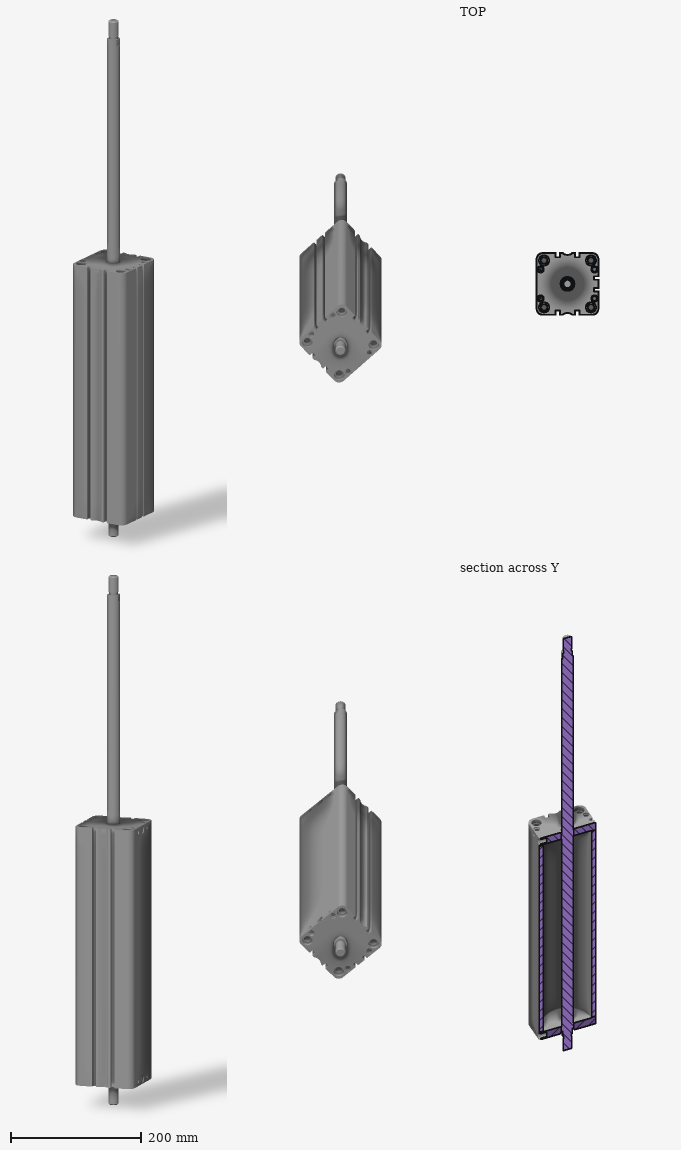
import cadquery as cq


BODY_WIDTH = 95.0
CORNER_RADIUS = 10.0
BODY_BOTTOM = 36.0
CAP_HEIGHT = 15.0
BARREL_LENGTH = 375.0
BORE_DIAMETER = 80.0

WIDE_SLOT_WIDTH = 7.0
WIDE_SLOT_DEPTH = 7.0
WIDE_SLOT_SPACING = 30.0
NARROW_SLOT_WIDTH = 5.0
NARROW_SLOT_DEPTH = 7.0
NARROW_SLOT_SPACING = 18.0
HOLLOW_DIAMETER = 23.0
HOLLOW_DEPTH = 2.9

SCREW_SPACING = 72.0
SCREW_HOLE_DIAMETER = 10.0
SCREW_HEAD_DIAMETER = 16.0
SCREW_HEAD_DEPTH = 7.0
PIN_SPACING_X = 83.0
PIN_SPACING_Y = 45.0
PIN_HOLE_DIAMETER = 7.5
PIN_HOLE_DEPTH = 7.0
PIN_RECESS_DIAMETER = 10.0
PIN_RECESS_DEPTH = 2.5
ROD_RECESS_DIAMETER = 21.5
ROD_RECESS_DEPTH = 2.5

PORT_DIAMETER = 8.0
PORT_DEPTH = 12.5
PORT_RECESS_DIAMETER = 12.0
PORT_RECESS_DEPTH = 2.5
SIDE_HOLE_SPACING = 40.0
SIDE_HOLE_DIAMETER = 6.0
SIDE_HOLE_DEPTH = 7.0

ROD_LENGTH = 828.0
ROD_DIAMETER = 20.0
FLAT_WIDTH = 17.0
FLAT_LENGTH = 11.0
THREAD_DIAMETER = 16.0
THREAD_LENGTH = 25.0
THREAD_CHAMFER = 2.0
NECK_DIAMETER = 13.0
NECK_LENGTH = 4.0

HALF_WIDTH = BODY_WIDTH / 2
BARREL_BOTTOM = BODY_BOTTOM + CAP_HEIGHT
BARREL_MIDDLE = BARREL_BOTTOM + BARREL_LENGTH / 2
BARREL_TOP = BARREL_BOTTOM + BARREL_LENGTH
BODY_TOP = BARREL_TOP + CAP_HEIGHT
ROD_MIDDLE = ROD_LENGTH / 2
SHANK_START = THREAD_LENGTH + NECK_LENGTH


def level(z):
    """Horizontal workplane on the axis at height z."""
    return cq.Workplane("XY", origin=(0, 0, z))


def cylinder(diameter, bottom, height):
    return level(bottom).circle(diameter / 2).extrude(height)


def grooved_block(bottom, height):
    """Rounded square block with the grooves that run along the barrel and the caps."""
    block = level(bottom).rect(BODY_WIDTH, BODY_WIDTH).extrude(height)
    block = block.edges("|Z").fillet(CORNER_RADIUS)

    wide_centers = level(bottom).rect(WIDE_SLOT_SPACING, BODY_WIDTH, forConstruction=True).vertices()
    wide_slots = wide_centers.rect(WIDE_SLOT_WIDTH, 2 * WIDE_SLOT_DEPTH).extrude(height)
    narrow_y = NARROW_SLOT_SPACING / 2
    narrow_centers = level(bottom).pushPoints([(HALF_WIDTH, -narrow_y), (HALF_WIDTH, narrow_y)])
    narrow_slots = narrow_centers.rect(2 * NARROW_SLOT_DEPTH, NARROW_SLOT_WIDTH).extrude(height)

    hollow_y = HALF_WIDTH - HOLLOW_DEPTH + HOLLOW_DIAMETER / 2
    hollow_centers = level(bottom).pushPoints([(0, -hollow_y), (0, hollow_y)])
    hollows = hollow_centers.circle(HOLLOW_DIAMETER / 2).extrude(height)

    return block.cut(wide_slots).cut(narrow_slots).cut(hollows)


def make_barrel():
    bore = cylinder(BORE_DIAMETER, BARREL_BOTTOM, BARREL_LENGTH)
    return grooved_block(BARREL_BOTTOM, BARREL_LENGTH).cut(bore)


def stepped_holes(centers, recess_diameter, recess_depth, hole_diameter, hole_depth):
    """Round recesses with a narrower hole going deeper; signed depths follow the plane's normal."""
    recesses = centers.circle(recess_diameter / 2).extrude(recess_depth)
    holes = centers.circle(hole_diameter / 2).extrude(hole_depth)
    return recesses.union(holes)


def end_face_holes():
    """Screw holes and small pin holes, four of each, sunk from the top of the upper cap."""
    screw_centers = level(BODY_TOP).rect(SCREW_SPACING, SCREW_SPACING, forConstruction=True).vertices()
    pin_centers = level(BODY_TOP).rect(PIN_SPACING_X, PIN_SPACING_Y, forConstruction=True).vertices()
    screws = stepped_holes(
        screw_centers, SCREW_HEAD_DIAMETER, -SCREW_HEAD_DEPTH, SCREW_HOLE_DIAMETER, -CAP_HEIGHT
    )
    pins = stepped_holes(
        pin_centers, PIN_RECESS_DIAMETER, -PIN_RECESS_DEPTH, PIN_HOLE_DIAMETER, -PIN_HOLE_DEPTH
    )
    return screws.union(pins)


def side_face_holes():
    """Port and the two small holes beside it, in the -X face of the upper cap."""
    side_face = cq.Workplane("YZ", origin=(-HALF_WIDTH, 0, BARREL_TOP + CAP_HEIGHT / 2))
    port = stepped_holes(side_face, PORT_RECESS_DIAMETER, PORT_RECESS_DEPTH, PORT_DIAMETER, PORT_DEPTH)
    hole_y = SIDE_HOLE_SPACING / 2
    hole_centers = side_face.pushPoints([(-hole_y, 0), (hole_y, 0)])
    return port.union(hole_centers.circle(SIDE_HOLE_DIAMETER / 2).extrude(SIDE_HOLE_DEPTH))


def make_caps():
    """Upper cap and its mirror image at the lower end of the barrel."""
    upper = grooved_block(BARREL_TOP, CAP_HEIGHT)
    rod_hole = stepped_holes(
        level(BODY_TOP), ROD_RECESS_DIAMETER, -ROD_RECESS_DEPTH, ROD_DIAMETER, -CAP_HEIGHT
    )
    upper = upper.cut(rod_hole).cut(end_face_holes()).cut(side_face_holes())
    lower = upper.mirror("XY", (0, 0, BARREL_MIDDLE))
    return [upper, lower]


def wrench_flat_cutter():
    """Material outside the two wrench flats, which face -X and +X at the end of the shank."""
    between_flats = level(SHANK_START).rect(FLAT_WIDTH, 2 * ROD_DIAMETER).extrude(FLAT_LENGTH)
    return cylinder(2 * ROD_DIAMETER, SHANK_START, FLAT_LENGTH).cut(between_flats)


def make_rod():
    """Through rod with the same threaded end at both tips."""
    shank = cylinder(ROD_DIAMETER, SHANK_START, ROD_MIDDLE - SHANK_START).cut(wrench_flat_cutter())
    neck = cylinder(NECK_DIAMETER, THREAD_LENGTH, NECK_LENGTH)
    thread = cylinder(THREAD_DIAMETER, 0, THREAD_LENGTH).faces("<Z").chamfer(THREAD_CHAMFER)
    lower_half = shank.union(neck).union(thread)
    return lower_half.union(lower_half.mirror("XY", (0, 0, ROD_MIDDLE)))


barrel = make_barrel()
caps = make_caps()
rod = make_rod()

result = cq.Compound.makeCompound([barrel.val(), *[cap.val() for cap in caps], rod.val()])